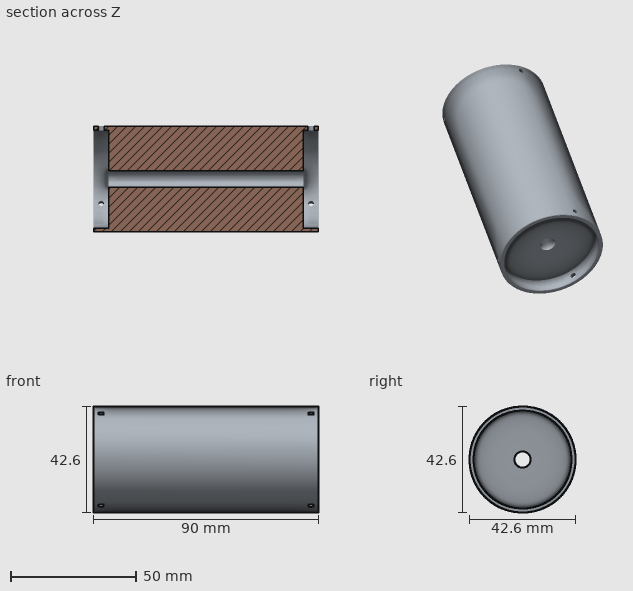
import cadquery as cq

length = 90.0
outer_diameter = 42.6
recess_diameter = 39.0
recess_depth = 6.0
rim_chamfer = 0.2
bore_diameter = 6.4
screw_hole_diameter = 2.25
screw_hole_inset = 3.1
screw_holes_per_end = 3

half_length = length / 2


def axial_cylinder(diameter, start_x, depth):
    """Cylinder along +X starting at start_x."""
    return cq.Workplane("YZ", origin=(start_x, 0, 0)).circle(diameter / 2).extrude(depth)


def screw_hole(x, angle):
    """Radial cutter from the axis outward; angle is measured from +Y about X."""
    return (
        cq.Workplane("XZ", origin=(x, 0, 0))
        .circle(screw_hole_diameter / 2)
        .extrude(-outer_diameter)
        .rotate((0, 0, 0), (1, 0, 0), angle)
    )


result = axial_cylinder(outer_diameter, -half_length, length)
result = result.cut(axial_cylinder(bore_diameter, -half_length, length))

for start_x in (-half_length, half_length - recess_depth):
    result = result.cut(axial_cylinder(recess_diameter, start_x, recess_depth))

result = result.faces("<X or >X").edges().chamfer(rim_chamfer)

hole_x = half_length - screw_hole_inset
for x in (-hole_x, hole_x):
    for index in range(screw_holes_per_end):
        result = result.cut(screw_hole(x, index * 360 / screw_holes_per_end))